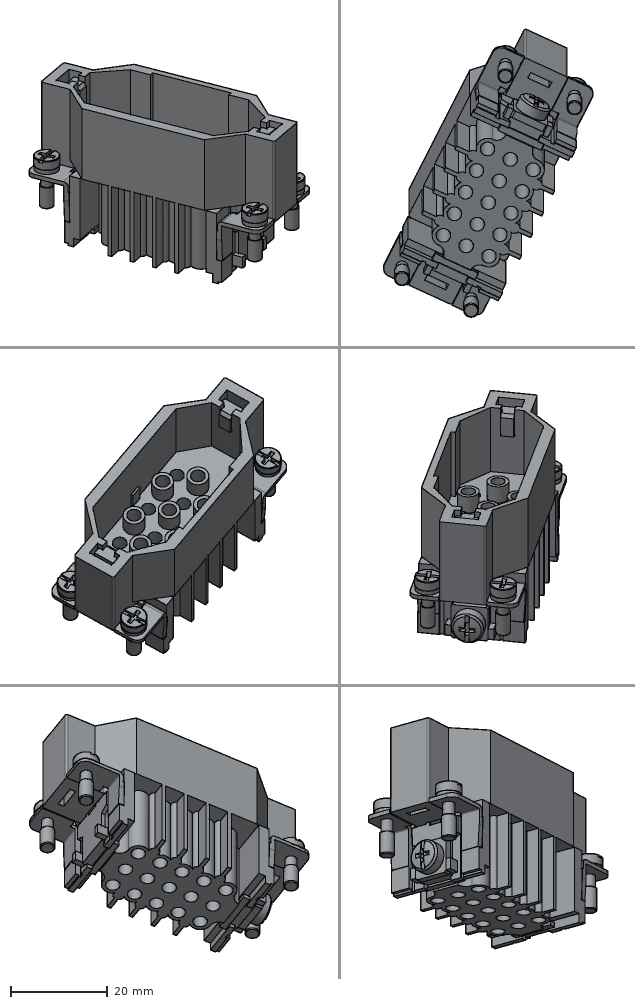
import cadquery as cq


LENGTH = 55.5
HEIGHT = 33.0
SHROUD_BOTTOM = 16.45
END_BOTTOM = 14.05
FLOOR_TOP = 17.6

HALF_WIDTH = 11.3
SIDE_HALF_LENGTH = 14.55
END_START_X = 20.8
END_HALF_WIDTH = 5.0
END_CORNER_RADIUS = 0.45

CAVITY_HALF_WIDTH = 8.75
CAVITY_END_HALF_WIDTH = 3.55
CAVITY_FRONT_HALF_LENGTH = 15.3
CAVITY_BACK_HALF_LENGTH = 14.05
BACK_RECESS_HALF_LENGTH = 9.25
BACK_RECESS_Y = 9.75
KEY_LENGTH = 2.55
KEY_DEPTH = 0.5

PITCH = 5.3
COLUMNS = range(-2, 3)
ROWS = range(-1, 2)
HOLE_DIAMETER = 3.0
POST_DIAMETER = 4.55
POST_TOP = 21.5

TUBE_RADIUS = 2.35
RIB_BOSS_RADIUS = 1.15
RIB_BOSS_Y = 7.3
RIB_WIDTH = 0.9
RIB_COLUMNS = (-1.5, -0.5, 0.5, 1.5)

WALL_INNER_X = 15.0
WALL_OUTER_X = 17.5
WALL_RAISED_X = 17.8
WALL_MIDDLE_HALF_WIDTH = 5.95
NOTCH_INNER_X = WALL_INNER_X
NOTCH_OUTER_X = 16.55
NOTCH_HEIGHT = 2.0
BAR_HALF_WIDTH = 5.0
BAR_BOTTOM = 0.5
BAR_TOP = 1.5
WALL_SLOT_HALF_WIDTH = 3.45
PAD_X = 18.65
PAD_INNER_Y = 6.75
PAD_BOTTOM = 0.5
PAD_TOP = 5.5

TAB_TOP = 14.8
TAB_THICKNESS = 0.95
TAB_BOTTOM = TAB_TOP - TAB_THICKNESS
TAB_INNER_Y = 5.1
TAB_OUTER_Y = 11.5
TAB_CORNER_RADIUS = 1.9
LEG_X = 18.75
LEG_TAPER_START = 10.5
LEG_FOOT_Y = 11.15
RELIEF_X = 19.8
LEG_INNER_X = 17.75
LEG_CONTACT_TOP = 12.5
BEND_INNER_RADIUS = 0.15

SEAT_SLOPE_TOP = 9.95
SEAT_TOP = 13.75
SEAT_BRIDGE_HALF_WIDTH = 2.45
SEAT_NOTCH_HALF_WIDTH = 1.45
SEAT_NOTCH_BOTTOM = 13.3
LUG_OUTER_X = 20.25
LUG_OUTER_Y = 5.15
LUG_BOTTOM = 1.45
LUG_TOP = 4.0

WINDOW_INNER_X = 22.3
WINDOW_OUTER_X = 25.3
WINDOW_HALF_WIDTH = 2.8
WINDOW_LOWER_HALF_WIDTH = 2.45
WINDOW_STEP_Z = 27.75
LATCH_OUTER_X = 24.0
LATCH_GAP = 0.1
LATCH_TOP = 31.75
LATCH_BOTTOM = 26.65
TONGUE_TIP_X = 20.4
TONGUE_BEVEL = 0.7
TONGUE_SLOT_HALF_WIDTH = 1.5

SCREW_X = 24.7
SCREW_Y = 8.0
SCREW_HEAD_RADIUS = 2.8
SCREW_COLLAR_RADIUS = 2.65
SCREW_COLLAR_TOP = 15.8
SCREW_HEAD_TOP = 18.0
SCREW_HEAD_CHAMFER = 0.15
SCREW_NECK_RADIUS = 1.3
SCREW_THREAD_RADIUS = 1.55
SCREW_THREAD_TOP = 11.05
SCREW_BOTTOM = 6.05
SCREW_TIP_CHAMFER = 0.2

DRIVE_WIDTH = 0.9
DRIVE_SLOT_DEPTH = 0.55
DRIVE_CROSS_HALF_LENGTH = 1.8
DRIVE_BOTTOM_HALF_LENGTH = 1.15
DRIVE_CROSS_DEPTH = 1.1

GROUND_Z = 4.95
GROUND_HEAD_RADIUS = 3.45
GROUND_CROWN_RADIUS = 3.0
GROUND_EDGE_X = 22.5
GROUND_CROWN_X = 22.9
GROUND_TIP_X = 23.3
GROUND_SHANK_RADIUS = 1.65
GROUND_SHANK_END_X = 15.55
CLAMP_HALF_WIDTH = 3.95
CLAMP_BOTTOM = 1.0
CLAMP_TOP = 9.0
CLAMP_CORNER_CHAMFER = 0.4


def block(x0, x1, y0, y1, z0, z1):
    """Box between opposite corner coordinates."""
    return cq.Workplane("XY").box(x1 - x0, y1 - y0, z1 - z0, centered=False).translate((x0, y0, z0))


def centred_block(x0, x1, half_width, z0, z1):
    """Box that is symmetric about the XZ plane."""
    return block(x0, x1, -half_width, half_width, z0, z1)


def cylinder(x, y, radius, z0, z1):
    """Upright cylinder."""
    return cq.Workplane("XY", origin=(x, y, z0)).circle(radius).extrude(z1 - z0)


def with_y_mirror(shape):
    """The shape together with its mirror image in Y."""
    return shape.union(shape.mirror("XZ"))



def shroud_shell():
    """Octagonal shroud with its end blocks, cavity and locating features."""
    outline = [
        (END_START_X, -END_HALF_WIDTH),
        (END_START_X, END_HALF_WIDTH),
        (SIDE_HALF_LENGTH, HALF_WIDTH),
        (-SIDE_HALF_LENGTH, HALF_WIDTH),
        (-END_START_X, END_HALF_WIDTH),
        (-END_START_X, -END_HALF_WIDTH),
        (-SIDE_HALF_LENGTH, -HALF_WIDTH),
        (SIDE_HALF_LENGTH, -HALF_WIDTH),
    ]
    octagon = (
        cq.Workplane("XY", origin=(0, 0, SHROUD_BOTTOM))
        .polyline(outline)
        .close()
        .extrude(HEIGHT - SHROUD_BOTTOM)
    )
    end = centred_block(WALL_OUTER_X, LENGTH / 2, END_HALF_WIDTH, END_BOTTOM, HEIGHT)
    end = end.edges("|Z and >X").fillet(END_CORNER_RADIUS)

    cavity_outline = [
        (END_START_X, -CAVITY_END_HALF_WIDTH),
        (END_START_X, CAVITY_END_HALF_WIDTH),
        (CAVITY_BACK_HALF_LENGTH, CAVITY_HALF_WIDTH),
        (-CAVITY_BACK_HALF_LENGTH, CAVITY_HALF_WIDTH),
        (-END_START_X, CAVITY_END_HALF_WIDTH),
        (-END_START_X, -CAVITY_END_HALF_WIDTH),
        (-CAVITY_FRONT_HALF_LENGTH, -CAVITY_HALF_WIDTH),
        (CAVITY_FRONT_HALF_LENGTH, -CAVITY_HALF_WIDTH),
    ]
    cavity = (
        cq.Workplane("XY", origin=(0, 0, FLOOR_TOP))
        .polyline(cavity_outline)
        .close()
        .extrude(HEIGHT - FLOOR_TOP)
    )
    back_recess = block(
        -BACK_RECESS_HALF_LENGTH, BACK_RECESS_HALF_LENGTH, 0, BACK_RECESS_Y, FLOOR_TOP, HEIGHT
    )
    key = block(
        -KEY_LENGTH / 2, KEY_LENGTH / 2,
        -CAVITY_HALF_WIDTH, KEY_DEPTH - CAVITY_HALF_WIDTH,
        FLOOR_TOP, POST_TOP,
    )
    return octagon.union(end).union(end.mirror("YZ")).cut(cavity).cut(back_recess).union(key)


def contact_block():
    """Ribbed block of contact tubes below the shroud."""
    row_y = ROWS[-1] * PITCH
    last_column_x = COLUMNS[-1] * PITCH
    body = centred_block(-last_column_x, last_column_x, row_y + TUBE_RADIUS / 2, 0, SHROUD_BOTTOM)

    flute_radius = WALL_INNER_X - last_column_x - TUBE_RADIUS
    necks = centred_block(-WALL_INNER_X, WALL_INNER_X, row_y, 0, SHROUD_BOTTOM)
    for x in (-WALL_INNER_X, WALL_INNER_X):
        for y in (-row_y, row_y):
            necks = necks.cut(cylinder(x, y, flute_radius, 0, SHROUD_BOTTOM))
    body = body.union(necks)

    for side in (-1, 1):
        for column in COLUMNS:
            body = body.union(cylinder(column * PITCH, side * row_y, TUBE_RADIUS, 0, SHROUD_BOTTOM))
        for column in RIB_COLUMNS:
            boss = cylinder(column * PITCH, side * RIB_BOSS_Y, RIB_BOSS_RADIUS, 0, SHROUD_BOTTOM)
            body = body.union(boss)
    for column in RIB_COLUMNS:
        x = column * PITCH
        rib = centred_block(x - RIB_WIDTH / 2, x + RIB_WIDTH / 2, HALF_WIDTH, 0, SHROUD_BOTTOM)
        body = body.union(rib)
    return body


def contact_posts():
    """Raised sleeves around every second contact hole."""
    posts = cq.Workplane("XY")
    for column in COLUMNS:
        for row in ROWS:
            if (column + row) % 2 == 0:
                posts = posts.union(
                    cylinder(column * PITCH, row * PITCH, POST_DIAMETER / 2, SHROUD_BOTTOM, POST_TOP)
                )
    return posts


def contact_holes():
    """Through holes for all contacts."""
    holes = cq.Workplane("XY")
    for column in COLUMNS:
        for row in ROWS:
            holes = holes.union(cylinder(column * PITCH, row * PITCH, HOLE_DIAMETER / 2, 0, HEIGHT))
    return holes



def end_wall():
    """Wall beside the contact block, with its pads and bottom notch."""
    wall = centred_block(WALL_INNER_X, WALL_OUTER_X, HALF_WIDTH, 0, SHROUD_BOTTOM)
    middle = centred_block(WALL_OUTER_X, WALL_RAISED_X, WALL_MIDDLE_HALF_WIDTH, 0, SHROUD_BOTTOM)
    lip = block(WALL_OUTER_X, WALL_RAISED_X, PAD_INNER_Y, HALF_WIDTH, 0, PAD_TOP)
    pad = block(WALL_RAISED_X, PAD_X, PAD_INNER_Y, HALF_WIDTH, PAD_BOTTOM, PAD_TOP)
    notch = centred_block(NOTCH_INNER_X, NOTCH_OUTER_X, HALF_WIDTH, 0, NOTCH_HEIGHT)
    bar = centred_block(NOTCH_INNER_X, NOTCH_OUTER_X, BAR_HALF_WIDTH, BAR_BOTTOM, BAR_TOP)
    slot = centred_block(NOTCH_OUTER_X, WALL_RAISED_X, WALL_SLOT_HALF_WIDTH, 0, CLAMP_BOTTOM)
    corner_radius = WALL_MIDDLE_HALF_WIDTH - END_HALF_WIDTH
    corner_x = WALL_RAISED_X + corner_radius
    corner = block(
        WALL_RAISED_X, corner_x, END_HALF_WIDTH, WALL_MIDDLE_HALF_WIDTH, END_BOTTOM, SHROUD_BOTTOM
    )
    corner = corner.cut(
        cylinder(corner_x, WALL_MIDDLE_HALF_WIDTH, corner_radius, END_BOTTOM, SHROUD_BOTTOM)
    )
    middle = middle.union(with_y_mirror(corner))
    return wall.union(middle).union(with_y_mirror(lip.union(pad))).cut(notch).union(bar).cut(slot)


def clamp_seat():
    """Raised seat behind the grounding clamp, and the two lugs that guide the clamp."""
    seat = (
        cq.Workplane("YZ", origin=(WALL_OUTER_X, 0, 0))
        .polyline([
            (-CLAMP_HALF_WIDTH, CLAMP_BOTTOM),
            (CLAMP_HALF_WIDTH, CLAMP_BOTTOM),
            (CLAMP_HALF_WIDTH, CLAMP_TOP),
            (WALL_MIDDLE_HALF_WIDTH, SEAT_SLOPE_TOP),
            (WALL_MIDDLE_HALF_WIDTH, END_BOTTOM),
            (-WALL_MIDDLE_HALF_WIDTH, END_BOTTOM),
            (-WALL_MIDDLE_HALF_WIDTH, SEAT_SLOPE_TOP),
            (-CLAMP_HALF_WIDTH, CLAMP_TOP),
        ])
        .close()
        .extrude(PAD_X - WALL_OUTER_X)
    )
    notch = (
        cq.Workplane("XZ", origin=(0, SEAT_NOTCH_HALF_WIDTH, 0))
        .polyline([
            (PAD_X, END_BOTTOM),
            (WALL_OUTER_X, SEAT_NOTCH_BOTTOM),
            (PAD_X, SEAT_NOTCH_BOTTOM),
        ])
        .close()
        .extrude(2 * SEAT_NOTCH_HALF_WIDTH)
    )
    top_gap = block(
        WALL_OUTER_X, PAD_X, SEAT_BRIDGE_HALF_WIDTH, WALL_MIDDLE_HALF_WIDTH, SEAT_TOP, END_BOTTOM
    )
    lug = block(WALL_OUTER_X, LUG_OUTER_X, CLAMP_HALF_WIDTH, LUG_OUTER_Y, LUG_BOTTOM, LUG_TOP)
    return seat.cut(notch).cut(with_y_mirror(top_gap)).union(with_y_mirror(lug))


def bracket():
    """One angle bracket: a horizontal tab with a screw hole and a vertical leg."""
    profile = (
        cq.Workplane("XZ", origin=(0, TAB_OUTER_Y, 0))
        .polyline([
            (LENGTH / 2, TAB_TOP),
            (LENGTH / 2, TAB_BOTTOM),
            (LEG_X, TAB_BOTTOM),
            (LEG_X, PAD_TOP),
            (WALL_OUTER_X, PAD_TOP),
            (WALL_OUTER_X, LEG_CONTACT_TOP),
            (LEG_INNER_X, LEG_CONTACT_TOP),
            (LEG_INNER_X, TAB_TOP),
        ])
        .close()
        .extrude(TAB_OUTER_Y - TAB_INNER_Y)
    )
    inner_bend = cq.NearestToPointSelector((LEG_X, SCREW_Y, TAB_BOTTOM))
    outer_bend = cq.NearestToPointSelector((LEG_INNER_X, SCREW_Y, TAB_TOP))
    plate = profile.edges(inner_bend).fillet(BEND_INNER_RADIUS)
    plate = plate.edges(outer_bend).fillet(BEND_INNER_RADIUS + TAB_THICKNESS)
    plate = plate.edges("|Z and >X and >Y").fillet(TAB_CORNER_RADIUS)

    taper = (
        cq.Workplane("YZ", origin=(WALL_OUTER_X, 0, 0))
        .polyline([
            (LEG_FOOT_Y, PAD_TOP),
            (TAB_OUTER_Y, PAD_TOP),
            (TAB_OUTER_Y, LEG_TAPER_START),
        ])
        .close()
        .extrude(LEG_X - WALL_OUTER_X)
    )
    relief = block(WALL_OUTER_X, RELIEF_X, TAB_INNER_Y, PAD_INNER_Y, PAD_TOP, TAB_TOP)
    plate = plate.cut(taper).cut(relief)
    return plate.cut(cylinder(SCREW_X, SCREW_Y, SCREW_NECK_RADIUS, TAB_BOTTOM, TAB_TOP))


def latch_window():
    """Stepped window through the shroud end, with a slot into the cavity."""
    upper = centred_block(
        WINDOW_INNER_X, WINDOW_OUTER_X, WINDOW_HALF_WIDTH, WINDOW_STEP_Z, HEIGHT
    )
    lower = centred_block(
        WINDOW_INNER_X, WINDOW_OUTER_X, WINDOW_LOWER_HALF_WIDTH, END_BOTTOM, WINDOW_STEP_Z
    )
    slot = centred_block(END_START_X, WINDOW_INNER_X, TONGUE_SLOT_HALF_WIDTH, LATCH_BOTTOM, HEIGHT)
    return upper.union(lower).union(slot)


def latch():
    """T-shaped latch: a stem in the window and a bevelled tongue into the cavity."""
    stem = centred_block(
        WINDOW_INNER_X + LATCH_GAP, LATCH_OUTER_X, WINDOW_LOWER_HALF_WIDTH, END_BOTTOM, LATCH_TOP
    )
    root = centred_block(
        WINDOW_INNER_X, LATCH_OUTER_X, WINDOW_LOWER_HALF_WIDTH, END_BOTTOM, LATCH_BOTTOM
    )
    tongue = centred_block(
        TONGUE_TIP_X, LATCH_OUTER_X, TONGUE_SLOT_HALF_WIDTH - LATCH_GAP, LATCH_BOTTOM, LATCH_TOP
    )
    tongue = tongue.edges(">Z and <X").chamfer(TONGUE_BEVEL)
    return stem.union(root).union(tongue)


def make_housing():
    """Housing with both brackets, less the bore for the grounding screw."""
    body = shroud_shell().union(contact_block()).union(contact_posts())
    end = end_wall().union(clamp_seat()).union(with_y_mirror(bracket()))
    window = latch_window()
    hook = latch()
    body = body.union(end).union(end.mirror("YZ"))
    body = body.cut(window).cut(window.mirror("YZ"))
    body = body.union(hook).union(hook.mirror("YZ"))
    body = body.cut(contact_holes())
    bore = (
        cq.Workplane("YZ", origin=(-PAD_X, 0, GROUND_Z))
        .circle(GROUND_SHANK_RADIUS)
        .extrude(PAD_X - GROUND_SHANK_END_X)
    )
    return body.cut(bore)



def screw_drive(head_radius, head_top):
    """Cutter for a long slot along Y and a deeper, shorter cross with sloping ends."""
    half = DRIVE_WIDTH / 2
    cross_bottom = head_top - DRIVE_CROSS_DEPTH
    slot = centred_block(-half, half, head_radius, head_top - DRIVE_SLOT_DEPTH, head_top)
    arms = (
        cq.Workplane("XZ", origin=(0, half, 0))
        .polyline([
            (-DRIVE_CROSS_HALF_LENGTH, head_top),
            (DRIVE_CROSS_HALF_LENGTH, head_top),
            (DRIVE_BOTTOM_HALF_LENGTH, cross_bottom),
            (-DRIVE_BOTTOM_HALF_LENGTH, cross_bottom),
        ])
        .close()
        .extrude(DRIVE_WIDTH)
    )
    cross = arms.union(arms.rotate((0, 0, 0), (0, 0, 1), 90))
    return slot.union(cross)


def make_corner_screw(x, y):
    """Captive screw with a collared head, a reduced neck and a thicker thread."""
    head = cylinder(0, 0, SCREW_HEAD_RADIUS, SCREW_COLLAR_TOP, SCREW_HEAD_TOP)
    head = head.faces(">Z").chamfer(SCREW_HEAD_CHAMFER)
    collar = cylinder(0, 0, SCREW_COLLAR_RADIUS, TAB_TOP, SCREW_COLLAR_TOP)
    neck = cylinder(0, 0, SCREW_NECK_RADIUS, SCREW_THREAD_TOP, TAB_TOP)
    thread = cylinder(0, 0, SCREW_THREAD_RADIUS, SCREW_BOTTOM, SCREW_THREAD_TOP)
    thread = thread.faces("<Z").chamfer(SCREW_TIP_CHAMFER)
    screw = head.union(collar).union(neck).union(thread)
    return screw.cut(screw_drive(SCREW_HEAD_RADIUS, SCREW_HEAD_TOP)).translate((x, y, 0))


def make_ground_screw():
    """Domed screw on the -X end, one body with its captive clamp plate."""
    crown_middle_radius = GROUND_CROWN_RADIUS / 2
    crown_middle_x = GROUND_TIP_X - (GROUND_TIP_X - GROUND_CROWN_X) / 4
    screw = (
        cq.Workplane("XZ")
        .moveTo(0, GROUND_SHANK_END_X)
        .lineTo(GROUND_SHANK_RADIUS, GROUND_SHANK_END_X)
        .lineTo(GROUND_SHANK_RADIUS, LUG_OUTER_X)
        .lineTo(GROUND_HEAD_RADIUS, LUG_OUTER_X)
        .lineTo(GROUND_HEAD_RADIUS, GROUND_EDGE_X)
        .lineTo(GROUND_CROWN_RADIUS, GROUND_CROWN_X)
        .threePointArc((crown_middle_radius, crown_middle_x), (0, GROUND_TIP_X))
        .close()
        .revolve(360, (0, 0, 0), (0, 1, 0))
    )
    drive = screw_drive(GROUND_HEAD_RADIUS, GROUND_TIP_X)
    screw = screw.cut(drive.rotate((0, 0, 0), (0, 0, 1), 90))
    screw = screw.rotate((0, 0, 0), (0, 1, 0), -90)
    screw = screw.translate((0, 0, GROUND_Z))
    clamp = centred_block(-LUG_OUTER_X, -PAD_X, CLAMP_HALF_WIDTH, CLAMP_BOTTOM, CLAMP_TOP)
    clamp = clamp.edges("|X").chamfer(CLAMP_CORNER_CHAMFER)
    return screw.union(clamp)


housing = make_housing()
corner_screws = [
    make_corner_screw(x, y) for x in (-SCREW_X, SCREW_X) for y in (-SCREW_Y, SCREW_Y)
]
ground_screw = make_ground_screw()

result = cq.Compound.makeCompound(
    [housing.val(), *[screw.val() for screw in corner_screws], ground_screw.val()]
)